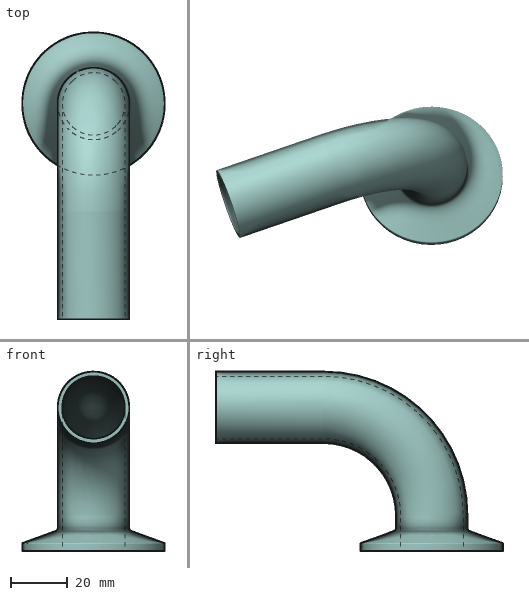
import cadquery as cq
import math

overall_length = 101.4
overall_height = 63.5
tube_diameter = 25.4
bore_diameter = 22.1
bend_radius = 38.1
flange_diameter = 50.4
rim_height = 2.8
cone_angle = 20.0
neck_fillet = 1.0
rim_fillet = 0.4
face_fillet = 0.3

tube_radius = tube_diameter / 2
flange_radius = flange_diameter / 2
outlet_height = overall_height - tube_radius
outlet_reach = overall_length - flange_radius
cone_rise = (flange_radius - tube_radius) * math.tan(math.radians(cone_angle))
neck_height = rim_height + cone_rise


def elbow(diameter):
    """Solid round bar following the tube centreline: up, around the bend, then out along -Y."""
    bend_start = outlet_height - bend_radius
    bend_diagonal = bend_radius * math.sqrt(0.5)
    centreline = (
        cq.Workplane("YZ")
        .moveTo(0, 0)
        .lineTo(0, bend_start)
        .threePointArc(
            (bend_diagonal - bend_radius, bend_start + bend_diagonal),
            (-bend_radius, outlet_height),
        )
        .lineTo(-outlet_reach, outlet_height)
    )
    return cq.Workplane("XY").circle(diameter / 2).sweep(centreline)


def flange():
    """Clamp flange with a flat face, a short rim and a conical back."""
    profile = [
        (0, 0),
        (flange_radius, 0),
        (flange_radius, rim_height),
        (tube_radius, neck_height),
        (0, neck_height),
    ]
    return cq.Workplane("XZ").polyline(profile).close().revolve(360, (0, 0), (0, 1))


def circle_at(radius, height):
    """Selector for the circular edge of the given radius around Z at the given height."""
    margin = 0.01
    reach = radius + margin
    return cq.selectors.BoxSelector(
        (-reach, -reach, height - margin),
        (reach, reach, height + margin),
        boundingbox=True,
    )


body = elbow(tube_diameter).union(flange())
body = body.edges(circle_at(tube_radius, neck_height)).fillet(neck_fillet)
body = body.edges(circle_at(flange_radius, rim_height)).fillet(rim_fillet)
body = body.edges(circle_at(flange_radius, 0)).fillet(face_fillet)

result = body.cut(elbow(bore_diameter))